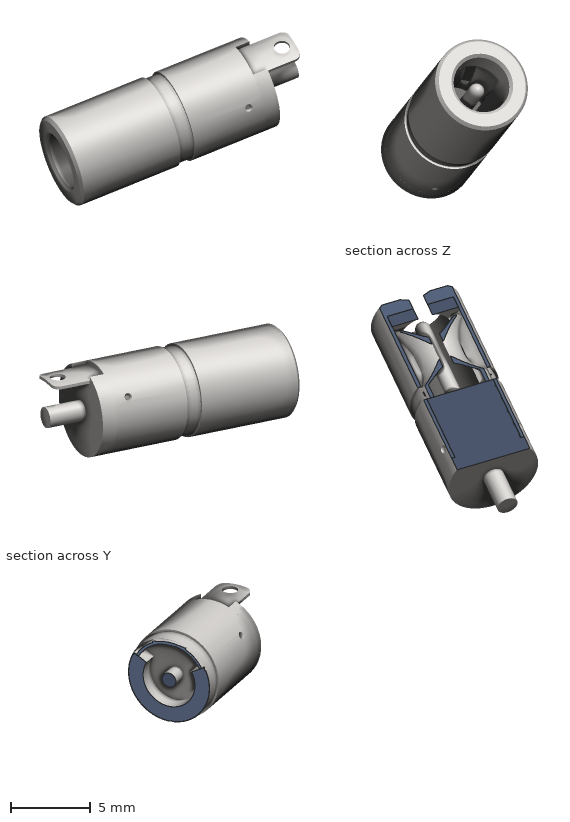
import cadquery as cq
import math

total_length = 16.5

lip_depth = 1.0
groove_start = 7.0
groove_end = 8.0
shell_end = 13.0
flange_end = 14.0

shell_radius = 3.0
groove_radius = 2.85
shell_inner_radius = 2.8
bore_radius = 1.8
edge_chamfer = 0.2

hole_count = 3
hole_first_angle = 30.0
hole_outer_radius = 0.25
hole_inner_radius = 0.15
hole_inset = 1.0

pin_radius = 0.68
tip_radius = 0.5
tip_start = 1.0

sheet_thickness = 0.2
tag_width = 2.35
tag_slot_width = 2.45
tag_top = 2.6
tag_arch_radius = 5.0
tag_corner_radius = 0.5
tag_hole_diameter = 1.0
tag_hole_inset = 0.85

finger_crest_radius = 1.52
finger_length = 4.62
finger_gap = 0.7
finger_start_angle = 30.0
collar_radius = 2.64
window_clearance = 0.5

hole_y = shell_end - hole_inset
cavity_floor = groove_end
collar_start = groove_start
finger_front = collar_start - finger_length
arch_center_z = tag_top - tag_arch_radius
cut_height = 2 * shell_radius


def disc(radius, y_start, y_end):
    """Solid cylinder on the Y axis between two stations."""
    return cq.Workplane("XZ", origin=(0, y_start, 0)).circle(radius).extrude(y_start - y_end)


def block(width, y_start, y_end):
    """Upright block above the axis, centred on X."""
    return (
        cq.Workplane("XY")
        .center(0, (y_start + y_end) / 2)
        .rect(width, y_end - y_start)
        .extrude(cut_height)
    )


def finger_sector(y_start, y_end):
    """Wedge above the axis that spans the angle of the spring fingers."""
    half_width = cut_height * math.cos(math.radians(finger_start_angle))
    height = cut_height * math.sin(math.radians(finger_start_angle))
    return (
        cq.Workplane("XZ", origin=(0, y_start, 0))
        .polyline([
            (0, 0),
            (half_width, height),
            (half_width, cut_height),
            (-half_width, cut_height),
            (-half_width, height),
        ])
        .close()
        .extrude(y_start - y_end)
    )


def staking_hole(angle):
    """Radial cone, wider towards the outside, at an angle around the Y axis from +X."""
    taper = (hole_outer_radius - hole_inner_radius) / (shell_radius - shell_inner_radius)
    apex_radius = shell_inner_radius - hole_inner_radius / taper
    height = cut_height - apex_radius
    direction = cq.Vector(math.cos(math.radians(angle)), 0, math.sin(math.radians(angle)))
    apex = direction * apex_radius + cq.Vector(0, hole_y, 0)
    return cq.Solid.makeCone(0, height * taper, height, apex, direction)


def make_shell():
    """Grooved tube with a front lip, chamfered edges and staking holes."""
    shell = (
        disc(shell_radius, 0, shell_end)
        .faces("<Y").edges().chamfer(edge_chamfer)
        .cut(disc(bore_radius, 0, shell_end))
        .faces("<Y").edges(cq.selectors.RadiusNthSelector(0)).chamfer(edge_chamfer)
        .cut(disc(shell_inner_radius, lip_depth, shell_end))
    )
    groove = disc(shell_radius, groove_start, groove_end).cut(disc(groove_radius, groove_start, groove_end))
    shell = shell.cut(groove)
    for index in range(hole_count):
        shell = shell.cut(staking_hole(hole_first_angle + index * 360 / hole_count))
    return shell


def make_insulator():
    """Flanged plug with a socket cavity, a pin hole, a tag slot and a finger window."""
    insulator = (
        disc(shell_inner_radius, lip_depth, shell_end)
        .union(disc(shell_radius, shell_end, flange_end))
        .cut(disc(bore_radius, lip_depth, cavity_floor))
        .cut(disc(pin_radius, cavity_floor, flange_end))
    )
    slot_floor = disc(tag_arch_radius - sheet_thickness, cavity_floor, flange_end)
    tag_slot = block(tag_slot_width, cavity_floor, flange_end).cut(slot_floor.translate((0, 0, arch_center_z)))
    finger_window = finger_sector(finger_front - window_clearance, cavity_floor)
    return insulator.cut(tag_slot).cut(finger_window)


def make_pin():
    """Pin with a slimmer, round-nosed contact end in the cavity."""
    nose_center_y = tip_start + tip_radius
    return (
        disc(pin_radius, cavity_floor, total_length)
        .union(disc(tip_radius, nose_center_y, cavity_floor))
        .union(cq.Workplane("XY").sphere(tip_radius).translate((0, nose_center_y, 0)))
    )


def make_tag_strip():
    """Arched strip with rounded outer corners and a wire hole."""
    outline = (
        block(tag_width, collar_start, total_length)
        .edges("|Z and >Y").fillet(tag_corner_radius)
    )
    wire_hole = (
        cq.Workplane("XY")
        .center(0, total_length - tag_hole_inset)
        .circle(tag_hole_diameter / 2)
        .extrude(cut_height)
    )
    arch = (
        disc(tag_arch_radius, collar_start, total_length)
        .cut(disc(tag_arch_radius - sheet_thickness, collar_start, total_length))
        .translate((0, 0, arch_center_z))
    )
    return outline.intersect(arch).cut(wire_hole)


def make_spring_fingers():
    """Curved collar carrying two fingers that bow into the cavity."""
    collar_inner = collar_radius - sheet_thickness
    crest_y = collar_start - finger_length / 2
    spring_ring = (
        cq.Workplane("XY")
        .moveTo(collar_inner, cavity_floor)
        .lineTo(collar_inner, collar_start)
        .threePointArc((finger_crest_radius, crest_y), (collar_inner, finger_front))
        .lineTo(collar_radius, finger_front)
        .threePointArc((finger_crest_radius + sheet_thickness, crest_y), (collar_radius, collar_start))
        .lineTo(collar_radius, cavity_floor)
        .close()
        .revolve(360, (0, 0, 0), (0, 1, 0))
    )
    return (
        spring_ring
        .intersect(finger_sector(finger_front, cavity_floor))
        .cut(block(finger_gap, finger_front, collar_start))
    )


shell = make_shell()
insulator = make_insulator()
pin = make_pin()
solder_tag = make_tag_strip().union(make_spring_fingers())

bodies = [shell, insulator, pin, solder_tag]
result = cq.Compound.makeCompound([body.solids().val() for body in bodies])